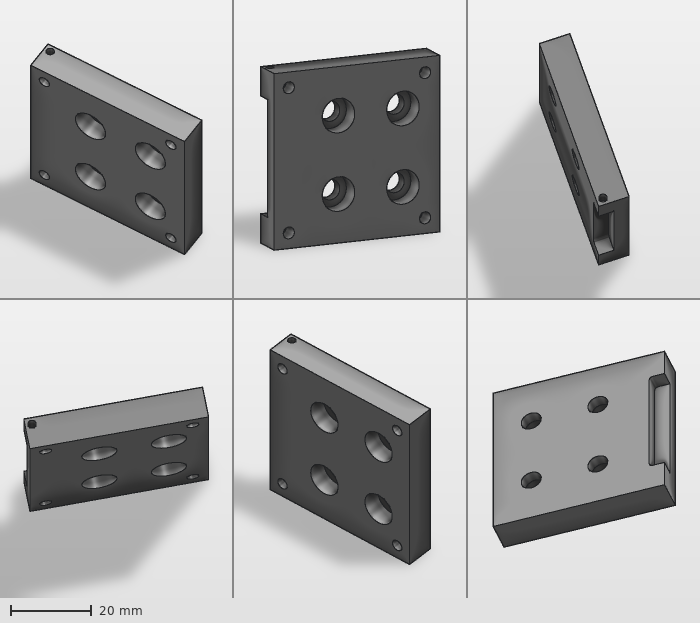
import cadquery as cq

plate_side = 45.0
plate_thickness = 8.0

pocket_height = 30.0
pocket_depth = 4.0
pocket_length = 4.0
pocket_corner_radius = 1.0

screw_hole_diameter = 5.2
counterbore_diameter = 8.8
counterbore_depth = 5.0
screw_pitch_x = 17.5
screw_pitch_z = 20.0
screw_pattern_offset_x = 3.75

corner_hole_diameter = 3.0
corner_hole_depth = 5.0
corner_hole_pitch = 37.0

top_hole_diameter = 2.05
top_hole_depth = 5.0
top_hole_inset = 1.75

half_side = plate_side / 2
front_y = -plate_thickness / 2
back_y = plate_thickness / 2


def cylinder_from_front(x, z, diameter, depth):
    """Cylinder that runs from the front face into the plate."""
    return cq.Workplane(
        cq.Solid.makeCylinder(diameter / 2, depth, cq.Vector(x, front_y, z), cq.Vector(0, 1, 0))
    )


def grid_points(pitch_x, pitch_z, offset_x=0.0):
    """Four (x, z) points of a two by two pattern."""
    return [
        (offset_x + side_x * pitch_x / 2, side_z * pitch_z / 2)
        for side_x in (-1, 1)
        for side_z in (-1, 1)
    ]


def make_plate():
    return cq.Workplane("XY").box(plate_side, plate_thickness, plate_side)


def make_pocket():
    """Pocket volume with rounded corners at its closed end."""
    pocket = cq.Workplane("XY").box(pocket_length, pocket_depth, pocket_height)
    pocket = pocket.edges("|Y and >X").fillet(pocket_corner_radius)
    return pocket.translate((pocket_length / 2 - half_side, back_y - pocket_depth / 2, 0))


def cut_screw_holes(body):
    for x, z in grid_points(screw_pitch_x, screw_pitch_z, screw_pattern_offset_x):
        body = body.cut(cylinder_from_front(x, z, screw_hole_diameter, plate_thickness))
        body = body.cut(cylinder_from_front(x, z, counterbore_diameter, counterbore_depth))
    return body


def cut_corner_holes(body):
    for x, z in grid_points(corner_hole_pitch, corner_hole_pitch):
        body = body.cut(cylinder_from_front(x, z, corner_hole_diameter, corner_hole_depth))
    return body


def cut_top_hole(body):
    mouth = cq.Vector(top_hole_inset - half_side, back_y - top_hole_inset, half_side)
    hole = cq.Solid.makeCylinder(top_hole_diameter / 2, top_hole_depth, mouth, cq.Vector(0, 0, -1))
    return body.cut(cq.Workplane(hole))


result = make_plate().cut(make_pocket())
result = cut_screw_holes(result)
result = cut_corner_holes(result)
result = cut_top_hole(result)